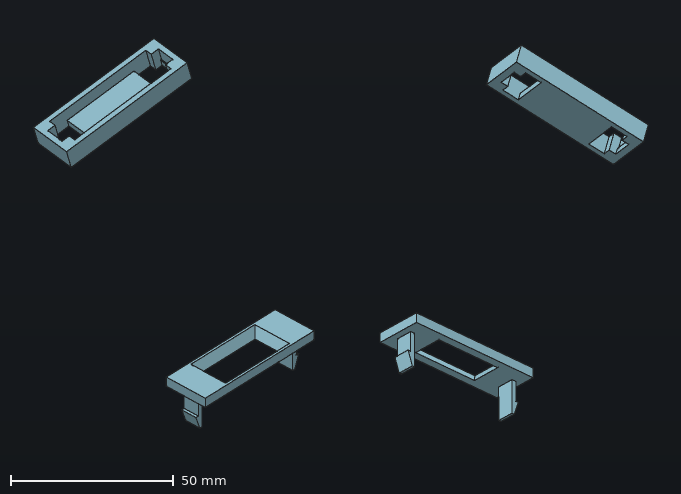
import cadquery as cq

body_length = 49.0
body_width = 16.5

tray_height = 7.0
rim = 2.05
floor_thickness = 2.6
step_inset = 5.0
notch_width = 7.0
snap_opening = 6.0
lip_height = 2.3
lip_projection = 0.4
tray_tilt = 15
tray_turn = -8.5

cover_thickness = 3.5
window_length = 28.7
window_width = 14.5
window_slope_run = 2.05
cover_x = 77.6
cover_y = -25.5
cover_top_z = -43.6

leg_width = 6.05
leg_drop = 12.0
barb_height = 5.0
leg_outer_inset = 2.4
leg_inner_inset = 4.1
barb_tip_inset = 1.4
toe_inset = 3.1


def make_tray():
    pocket_length = body_length - 2 * step_inset
    pocket_width = body_width - 2 * rim
    notch_span = body_length - 2 * rim
    floor_length = pocket_length - 2 * snap_opening
    bottom_z = -tray_height / 2

    tray = cq.Workplane("XY").box(body_width, body_length, tray_height)
    tray = tray.cut(cq.Workplane("XY").box(pocket_width, pocket_length, tray_height))
    tray = tray.cut(cq.Workplane("XY").box(notch_width, notch_span, tray_height))

    floor = (
        cq.Workplane("XY", origin=(0, 0, bottom_z))
        .rect(pocket_width, floor_length)
        .extrude(floor_thickness)
    )
    tray = tray.union(floor)

    for end in (-1, 1):
        lip_y = end * (notch_span - lip_projection) / 2
        lip = (
            cq.Workplane("XY", origin=(0, lip_y, bottom_z))
            .rect(notch_width, lip_projection)
            .extrude(lip_height)
        )
        tray = tray.union(lip)

    tray = tray.rotate((0, 0, 0), (1, 0, 0), tray_tilt)
    return tray.rotate((0, 0, 0), (0, 0, 1), tray_turn)


def make_leg(end):
    """Barbed leg at the -Y (end = -1) or +Y (end = 1) side, hanging from the cover."""
    top_z = -cover_thickness
    toe_z = top_z - leg_drop
    barb_z = toe_z + barb_height
    profile = [
        (leg_inner_inset, top_z),
        (leg_outer_inset, top_z),
        (leg_outer_inset, barb_z),
        (barb_tip_inset, barb_z),
        (toe_inset, toe_z),
        (leg_inner_inset, toe_z),
    ]
    points = [(end * (body_length / 2 - inset), z) for inset, z in profile]
    return cq.Workplane("YZ").polyline(points).close().extrude(leg_width / 2, both=True)


def make_cover():
    plate = cq.Workplane("XY").rect(body_width, body_length).extrude(-cover_thickness)

    window = (
        cq.Workplane("XY")
        .rect(window_width, window_length)
        .workplane(offset=-cover_thickness)
        .rect(window_width - 2 * window_slope_run, window_length - 2 * window_slope_run)
        .loft(ruled=True)
    )
    cover = plate.cut(window)

    for end in (-1, 1):
        cover = cover.union(make_leg(end))
    return cover.translate((cover_x, cover_y, cover_top_z))


tray = make_tray()
cover = make_cover()

result = cq.Compound.makeCompound([tray.val(), cover.val()])